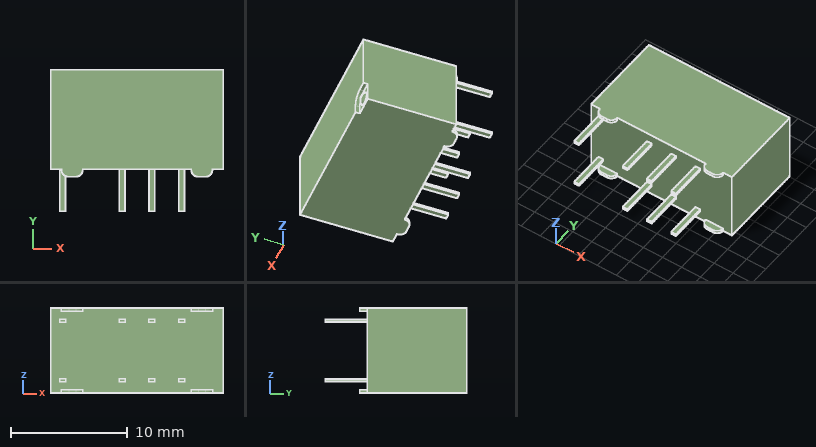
import cadquery as cq

body_length = 14.8
body_depth = 8.55
body_height = 7.3

pin_pitch = 2.55
row_spacing = 2 * pin_pitch
pin_width = 0.5
pin_thickness = 0.22
pin_length = 3.6
first_pin_x = -6.36
pin_steps = (0, 2, 3, 4)

foot_width = 1.84
foot_length = 0.64
foot_thickness = 0.3
foot_radius = foot_width / 3
foot_offset_x = 5.55

recess_size = 1.85
recess_depth = 0.4
recess_corner_radius = 1.0
dome_base_radius = 0.59
dome_height = 0.31


def make_pin(x, z):
    return cq.Workplane("XY").box(
        pin_width, pin_length, pin_thickness, centered=(True, False, True)
    ).translate((x, -pin_length, z))


def make_foot(x, bottom_z):
    root = foot_length
    return (
        cq.Workplane("XY")
        .box(foot_width, foot_length + root, foot_thickness, centered=(True, False, False))
        .edges("|Z and <Y")
        .fillet(foot_radius)
        .translate((x, -foot_length, bottom_z))
    )


def make_recess():
    return (
        cq.Workplane("XY")
        .box(recess_size, recess_depth, recess_size, centered=False)
        .edges("|Y and >X and >Z")
        .fillet(recess_corner_radius)
        .translate((-body_length / 2, body_depth - recess_depth, -body_height / 2))
    )


def make_dome():
    sphere_radius = (dome_base_radius**2 + dome_height**2) / (2 * dome_height)
    center_offset = recess_size - recess_corner_radius
    floor_y = body_depth - recess_depth
    return cq.Workplane("XY").sphere(sphere_radius).translate((
        -body_length / 2 + center_offset,
        floor_y + dome_height - sphere_radius,
        -body_height / 2 + center_offset,
    ))


result = cq.Workplane("XY").box(
    body_length, body_depth, body_height, centered=(True, False, True)
)
result = result.cut(make_recess()).union(make_dome())

for foot_x in (-foot_offset_x, foot_offset_x):
    for foot_bottom_z in (-body_height / 2, body_height / 2 - foot_thickness):
        result = result.union(make_foot(foot_x, foot_bottom_z))

for row_z in (-row_spacing / 2, row_spacing / 2):
    for step in pin_steps:
        result = result.union(make_pin(first_pin_x + step * pin_pitch, row_z))